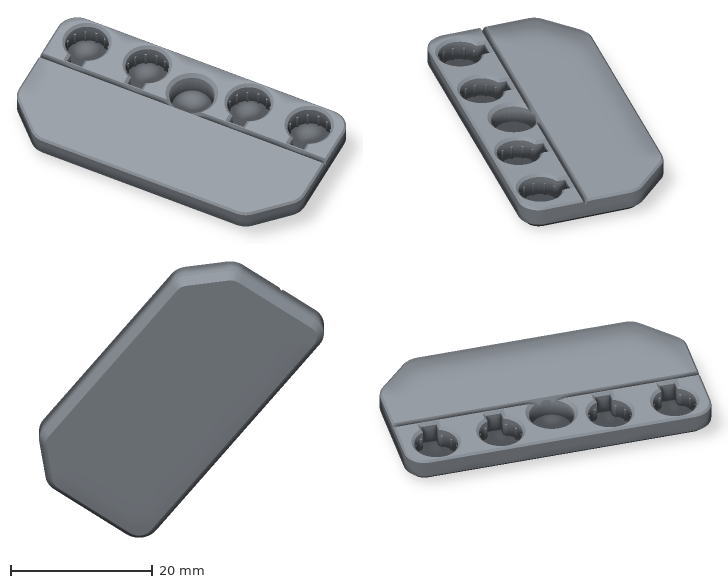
import cadquery as cq

length = 45.0
width = 23.0
height = 3.8
corner_cut = 6.0
corner_radius = 3.0
top_chamfer = 0.3
bottom_chamfer = 1.0

pocket_radius = 3.1
pocket_depth = 3.38
pocket_chamfer = 0.4
chamfer_angle = 45
pocket_y = 7.5
inner_pocket_x = 8.0
outer_pocket_x = 17.5
slot_width = 2.3
slot_end_y = 3.4

rib_radius = 0.2
rib_reach = 0.2
rib_top_gap = 1.0
rib_count = 12

recess_y = 5.5
recess_depth = 2.8
recess_floor_radius = 2.85
recess_mouth_radius = 3.25
recess_chamfer = 0.5

groove_y = 2.48
groove_width = 0.85
groove_depth = 0.85


def make_plate():
    plate = cq.Workplane("XY").box(length, width, height, centered=(True, True, False))
    plate = plate.edges("|Z and <Y").chamfer(corner_cut)
    plate = plate.edges("|Z").fillet(corner_radius)
    plate = plate.faces(">Z").chamfer(top_chamfer)
    return plate.faces("<Z").chamfer(bottom_chamfer)


def make_mouth(radius, chamfer):
    """Cone that widens by the chamfer up to the top face, centred on the Z axis."""
    cone = cq.Solid.makeCone(radius, radius + chamfer, chamfer)
    return cq.Workplane(cone).translate((0, 0, height - chamfer))


def make_ribs():
    """Vertical round ribs, half sunk in the pocket wall and ending below its chamfer."""
    rib_height = pocket_depth - pocket_chamfer - rib_top_gap
    rib_circle_radius = pocket_radius - rib_reach + rib_radius
    return (
        cq.Workplane("XY", origin=(0, 0, height - pocket_depth))
        .polarArray(rib_circle_radius, 0, 360, rib_count)
        .circle(rib_radius)
        .extrude(rib_height)
    )


def make_pocket():
    """Keyhole-shaped cutter with its circle centred on the Z axis."""
    floor = cq.Workplane("XY", origin=(0, 0, height - pocket_depth))
    bore = floor.circle(pocket_radius).extrude(pocket_depth)
    slot_length = pocket_y - slot_end_y
    slot_middle = -slot_length / 2
    slot = floor.center(0, slot_middle).rect(slot_width, slot_length).extrude(pocket_depth)
    slot_mouth = (
        cq.Workplane("XY", origin=(0, slot_middle, height))
        .rect(slot_width + 2 * pocket_chamfer, slot_length + 2 * pocket_chamfer)
        .extrude(-pocket_chamfer, taper=chamfer_angle)
    )
    pocket = bore.cut(make_ribs()).union(slot)
    return pocket.union(make_mouth(pocket_radius, pocket_chamfer)).union(slot_mouth)


def make_recess():
    """Cutter for the middle recess, centred on the Z axis."""
    draft = (recess_mouth_radius - recess_floor_radius) / (recess_depth - recess_chamfer)
    top_radius = recess_floor_radius + draft * recess_depth
    seat = cq.Workplane(cq.Solid.makeCone(recess_floor_radius, top_radius, recess_depth))
    seat = seat.translate((0, 0, height - recess_depth))
    behind_groove = (
        cq.Workplane("XY", origin=(0, groove_y - recess_y, 0))
        .box(length, width, height, centered=(True, False, False))
    )
    mouth = make_mouth(recess_mouth_radius, recess_chamfer).intersect(behind_groove)
    return seat.union(mouth)


def make_groove():
    half_width = groove_width / 2
    return (
        cq.Workplane("YZ", origin=(-length / 2, groove_y, height))
        .moveTo(-half_width, 0)
        .lineTo(0, -groove_depth)
        .lineTo(half_width, 0)
        .close()
        .extrude(length)
    )


result = make_plate()
pocket = make_pocket()
for pocket_x in (-outer_pocket_x, -inner_pocket_x, inner_pocket_x, outer_pocket_x):
    result = result.cut(pocket.translate((pocket_x, pocket_y, 0)))
result = result.cut(make_recess().translate((0, recess_y, 0)))
result = result.cut(make_groove())